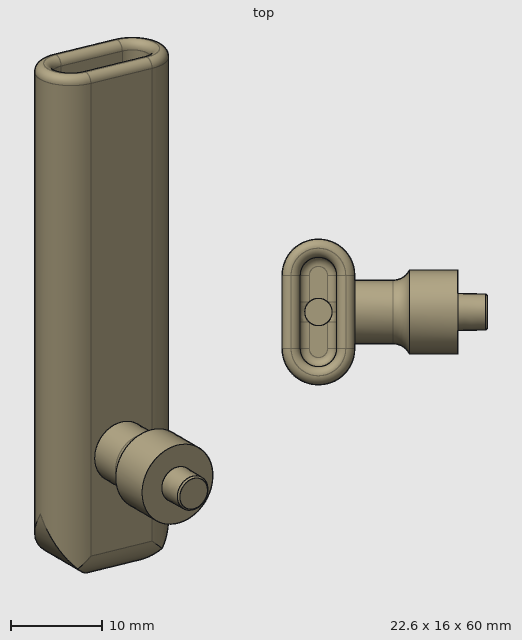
import cadquery as cq
import math

sleeve_width = 8.0
sleeve_length = 16.0
sleeve_height = 60.0
wall = 2.0
rim_crest = 0.002
rim_radius = (wall - rim_crest) / 2

side_round_radius = 3.0
nose_radius = 8.0
nose_start_height = 7.5

pocket_width = sleeve_width - 2 * wall
pocket_length = sleeve_length - 2 * wall
floor_height = 5.0
floor_fillet = 1.0
floor_hole_diameter = 3.0
floor_hole_depth = 2.0
select_margin = 0.1

connector_height = 14.5
neck_diameter = 7.0
collar_diameter = 9.27
pin_base_diameter = 4.1
pin_tip_diameter = 4.0
flare_radius = 2.0
collar_start = 10.0
collar_end = 15.3
pin_end = 18.55
pin_edge_chamfer = 0.2


def upright_slot(width, length, bottom, height):
    """Vertical prism with a slot outline whose long direction is Y."""
    return (
        cq.Workplane("XY")
        .workplane(offset=bottom)
        .slot2D(length, width, 90)
        .extrude(height)
    )


def side_profile():
    """Prism along Y that rounds the two lower edges of the flat sides."""
    block = cq.Workplane("XY").box(
        sleeve_width, sleeve_length, sleeve_height, centered=(True, True, False)
    )
    return block.edges("|Y and <Z").fillet(side_round_radius)


def nose_profile():
    """Prism along X whose lower corners are arcs that meet the flat bottom at an angle."""
    half_length = sleeve_length / 2
    arc_centre_y = half_length - nose_radius
    flat_half = arc_centre_y + math.sqrt(nose_radius**2 - nose_start_height**2)
    end_angle = math.asin(nose_start_height / nose_radius)
    mid_y = arc_centre_y + nose_radius * math.cos(end_angle / 2)
    mid_z = nose_start_height - nose_radius * math.sin(end_angle / 2)
    return (
        cq.Workplane("YZ")
        .moveTo(-flat_half, 0)
        .lineTo(flat_half, 0)
        .threePointArc((mid_y, mid_z), (half_length, nose_start_height))
        .lineTo(half_length, sleeve_height)
        .lineTo(-half_length, sleeve_height)
        .lineTo(-half_length, nose_start_height)
        .threePointArc((-mid_y, mid_z), (-flat_half, 0))
        .close()
        .extrude(sleeve_width / 2, both=True)
    )


def sleeve_body():
    """Slot-shaped bar with the outer half of the rim and the bottom rounded."""
    bar = upright_slot(sleeve_width, sleeve_length, 0, sleeve_height)
    bar = bar.faces(">Z").edges().fillet(rim_radius)
    return bar.intersect(side_profile()).intersect(nose_profile())


def pocket():
    """Straight-walled cavity that leaves an even wall around it."""
    depth = sleeve_height - floor_height
    return upright_slot(pocket_width, pocket_length, floor_height, depth)


def floor_hole():
    """Blind round hole in the middle of the pocket floor."""
    bottom = floor_height - floor_hole_depth
    return (
        cq.Workplane("XY")
        .workplane(offset=bottom)
        .circle(floor_hole_diameter / 2)
        .extrude(floor_hole_depth)
    )


def pocket_edges(height):
    """Selector for the edges of the pocket outline lying at the given height."""
    half_width = pocket_width / 2 + select_margin
    half_length = pocket_length / 2 + select_margin
    return cq.selectors.BoxSelector(
        (-half_width, -half_length, height - select_margin),
        (half_width, half_length, height + select_margin),
        boundingbox=True,
    )


def hole_edges():
    """Selector for the mouth of the floor hole."""
    reach = floor_hole_diameter / 2 + select_margin
    return cq.selectors.BoxSelector(
        (-reach, -reach, floor_height - select_margin),
        (reach, reach, floor_height + select_margin),
        boundingbox=True,
    )


def hollow_sleeve():
    """Sleeve with its pocket and floor hole; the floor fillet stops beside the hole."""
    sleeve = sleeve_body().cut(pocket()).cut(floor_hole())
    sleeve = sleeve.edges(pocket_edges(floor_height) - hole_edges()).fillet(floor_fillet)
    return sleeve.edges(pocket_edges(sleeve_height)).fillet(rim_radius)


def connector():
    """Neck, concave flare, collar and end pin as one turned piece."""
    neck_radius = neck_diameter / 2
    collar_radius = collar_diameter / 2
    pin_base_radius = pin_base_diameter / 2
    pin_tip_radius = pin_tip_diameter / 2
    flare_angle = math.acos(1 - (collar_radius - neck_radius) / flare_radius)
    flare_start = collar_start - flare_radius * math.sin(flare_angle)
    flare_mid_x = flare_start + flare_radius * math.sin(flare_angle / 2)
    flare_mid_r = neck_radius + flare_radius * (1 - math.cos(flare_angle / 2))
    root = sleeve_width / 2 - wall / 2
    return (
        cq.Workplane("XZ")
        .moveTo(root, 0)
        .lineTo(root, neck_radius)
        .lineTo(flare_start, neck_radius)
        .threePointArc((flare_mid_x, flare_mid_r), (collar_start, collar_radius))
        .lineTo(collar_end, collar_radius)
        .lineTo(collar_end, pin_base_radius)
        .lineTo(pin_end - pin_edge_chamfer, pin_tip_radius)
        .lineTo(pin_end, pin_tip_radius - pin_edge_chamfer)
        .lineTo(pin_end, 0)
        .close()
        .revolve(360, (0, 0, 0), (1, 0, 0))
        .translate((0, 0, connector_height))
    )


result = hollow_sleeve().union(connector())